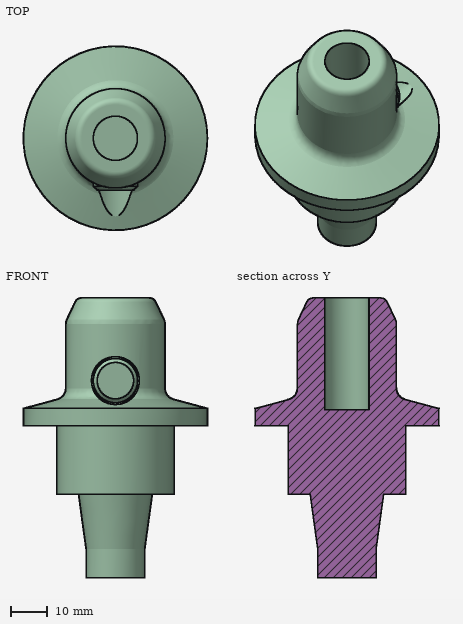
import cadquery as cq
import math

total_height = 76.0
tail_top = 7.75
taper_top = 22.65
flange_bottom = 41.2
flange_rim_top = 46.0

tail_radius = 15.95 / 2
taper_top_radius = 20.1 / 2
body_radius = 32.0 / 2
flange_radius = 50.0 / 2
neck_radius = 27.0 / 2

flange_slope = math.radians(15)
root_fillet = 3.05
nose_angle = math.radians(25.4)
nose_base = 69.55
shoulder_fillet = 3.0
nose_fillet = 2.0

bore_diameter = 12.0
bore_depth = 30.4

button_height = 53.5
button_diameter = 12.0
button_face = 14.05
button_chamfer = 1.1
recess_diameter = 13.0
recess_floor = 11.4


def cylinder_toward_front(diameter, start, end):
    """Cylinder at button height, between two distances from the axis toward -Y."""
    plane = cq.Plane(origin=(0, -start, button_height), xDir=(1, 0, 0), normal=(0, -1, 0))
    return cq.Workplane(plane).circle(diameter / 2).extrude(end - start)


def round_circular_edge(solid, radius, height, fillet):
    """Fillet the circular edge of the given radius and height."""
    margin = 0.1
    reach = radius + margin
    box = cq.selectors.BoxSelector(
        (-reach, -reach, height - margin), (reach, reach, height + margin), boundingbox=True
    )
    return solid.edges(box).fillet(fillet)


root_height = flange_rim_top + (flange_radius - neck_radius) * math.tan(flange_slope)
nose_radius = neck_radius - (total_height - nose_base) * math.tan(nose_angle)

body = (
    cq.Workplane("XZ")
    .polyline([
        (0, 0),
        (tail_radius, 0),
        (tail_radius, tail_top),
        (taper_top_radius, taper_top),
        (body_radius, taper_top),
        (body_radius, flange_bottom),
        (flange_radius, flange_bottom),
        (flange_radius, flange_rim_top),
        (neck_radius, root_height),
        (neck_radius, nose_base),
        (nose_radius, total_height),
        (0, total_height),
    ])
    .close()
    .revolve(360, (0, 0, 0), (0, 1, 0))
)
body = round_circular_edge(body, neck_radius, root_height, root_fillet)
body = round_circular_edge(body, neck_radius, nose_base, shoulder_fillet)
body = round_circular_edge(body, nose_radius, total_height, nose_fillet)

body = body.faces(">Z").workplane(origin=(0, 0, total_height)).hole(bore_diameter, bore_depth)

recess = cylinder_toward_front(recess_diameter, recess_floor, flange_radius)
button = cylinder_toward_front(button_diameter, recess_floor, button_face)
button = button.faces("<Y").edges().chamfer(button_chamfer)

result = body.cut(recess).union(button)